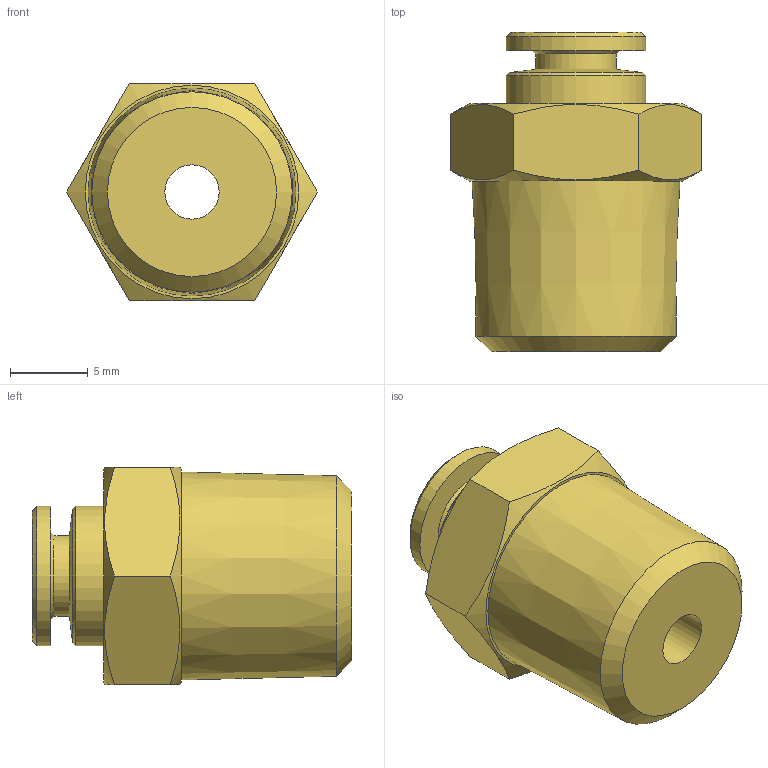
import cadquery as cq
import math


thread_length = 11.0
thread_chamfer = 1.0
hex_length = 5.0
collar_length = 2.0
collar_chamfer = 0.2
collar_cone_rise = 0.2
head_gap = 1.4
head_thickness = 1.2
head_chamfer = 0.3
neck_chamfer = 0.2

thread_face_radius = 5.45
thread_small_radius = 6.46
thread_large_radius = 6.70
collar_radius = 4.5
neck_radius = 2.6
head_radius = 4.5
bore_diameter = 3.5

hex_across_flats = 14.0
hex_corner_radius = hex_across_flats / math.sqrt(3)
hex_end_radius = 6.88
hex_bevel_angle = 30.0
hex_bevel_depth = (hex_corner_radius - hex_end_radius) * math.tan(math.radians(hex_bevel_angle))

hex_start = thread_length
hex_end = hex_start + hex_length
collar_end = hex_end + collar_length
head_start = collar_end + head_gap
head_end = head_start + head_thickness


def revolve_profile(points):
    """Turn a closed (radius, Y) profile about the Y axis."""
    outline = [(y, radius) for radius, y in points]
    return cq.Workplane("YZ").polyline(outline).close().revolve(360, (0, 0, 0), (1, 0, 0))


def make_thread():
    """Tapered thread body with a chamfered end."""
    return revolve_profile([
        (0, 0),
        (thread_face_radius, 0),
        (thread_small_radius, thread_chamfer),
        (thread_large_radius, hex_start),
        (0, hex_start),
    ])


def make_hex():
    """Hexagon with its corners along X, bevelled by a cone at both ends."""
    prism = (
        cq.Workplane("XZ", origin=(0, hex_start, 0))
        .polygon(6, 2 * hex_corner_radius)
        .extrude(-hex_length)
    )
    bevel_envelope = revolve_profile([
        (0, hex_start),
        (hex_end_radius, hex_start),
        (hex_corner_radius, hex_start + hex_bevel_depth),
        (hex_corner_radius, hex_end - hex_bevel_depth),
        (hex_end_radius, hex_end),
        (0, hex_end),
    ])
    return prism.intersect(bevel_envelope)


def make_tube_end():
    """Collar with a shallow conical end, narrow neck and release head."""
    return revolve_profile([
        (0, hex_end),
        (collar_radius, hex_end),
        (collar_radius, collar_end - collar_chamfer),
        (collar_radius - collar_chamfer, collar_end),
        (neck_radius, collar_end + collar_cone_rise),
        (neck_radius, head_start - neck_chamfer),
        (neck_radius + neck_chamfer, head_start),
        (head_radius, head_start),
        (head_radius, head_end - head_chamfer),
        (head_radius - head_chamfer, head_end),
        (0, head_end),
    ])


def make_bore():
    """Straight bore through the whole fitting."""
    return cq.Workplane("XZ").circle(bore_diameter / 2).extrude(-head_end)


result = make_thread().union(make_hex()).union(make_tube_end()).cut(make_bore())